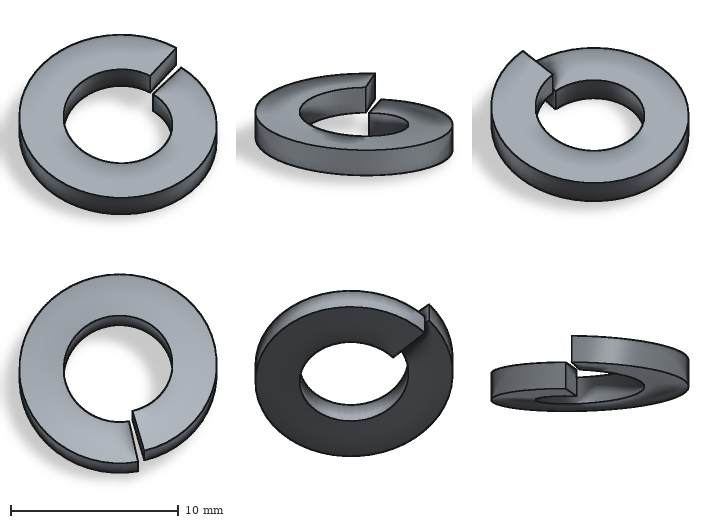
import cadquery as cq

outer_diameter = 11.79
inner_diameter = 6.5
overall_height = 3.2
thickness = 1.6
gap_angle = 3.6
high_end_angle = 90.0

outer_radius = outer_diameter / 2
inner_radius = inner_diameter / 2
mean_radius = (outer_radius + inner_radius) / 2
radial_width = outer_radius - inner_radius

rise = overall_height - thickness
pitch = rise * 360 / (360 - gap_angle)
low_end_angle = high_end_angle - gap_angle


def make_coil():
    """Sweep the rectangular section along a left-handed helix that starts on +X."""
    helix = cq.Wire.makeHelix(pitch, rise, mean_radius, lefthand=True)
    section = cq.Workplane("XZ").center(mean_radius, 0).rect(radial_width, thickness)
    return section.sweep(cq.Workplane(obj=helix), isFrenet=True)


coil = make_coil().rotate((0, 0, 0), (0, 0, 1), low_end_angle)
result = coil.translate((0, 0, thickness / 2))